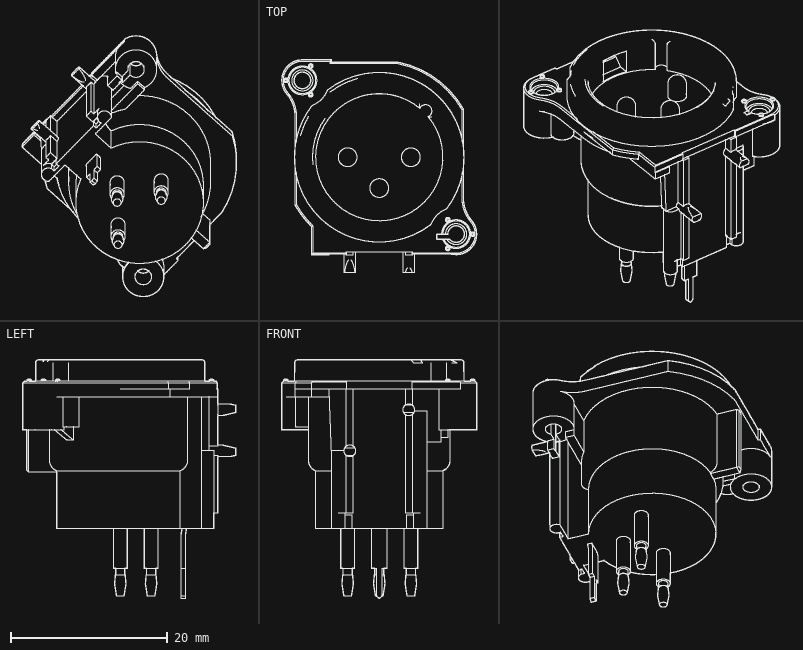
import cadquery as cq
import math


collar_radius = 10.87
collar_height = 2.75
collar_rounding = 0.4
ear_clearance_radius = 3.45
bore_radius = 8.15
cavity_floor_z = -1.75
key_radius = 0.8
key_offset = 8.4
key_angle = 45
latch_window_width = 3.7
latch_window_top_z = 1.65
latch_window_depth_y = 10.5
latch_window_floor_z = -1.6
latch_ramp_start_y = 9.2
latch_ramp_end_y = 10.2
latch_ramp_top_z = -0.57

flange_upper_thickness = 1.0
flange_thickness = 2.0
flange_chamfer = 0.2
flange_half_width = 10.8
flange_back_y = 12.2
flange_corner_radius = 12.43
back_corner_mid_angle = 55
left_corner_mid_angle = 215
flange_left_corner_x = -8.7
flange_front_y = -12.5
flange_upper_front_y = -12.38
flange_upper_front_end_x = 10.43
flange_relief_y = -12.17
flange_relief_half_width = 4.2
back_step_x = -6.12

ear_offset = 9.85
left_ear_angle = 135
ear_radius = 2.65
ear_depth = 6.25
ear_blend_start = 5.23
ear_hole_diameter = 2.1
ear_counterbore_diameter = 3.4
ear_counterbore_depth = 0.9
ear_counterbore_chamfer = 0.15
ear_countersink = 0.3
bump_circle_radius = 2.12
bump_angles = (0, 120, 240)
bump_radius = 0.3
bump_height = 0.3
slot_inner_x = 7.4
slot_front_y = -10.5
slot_width = 0.6
lug_diameter = 3.0
lug_x = -9.25
lug_y = 6.8
lug_depth = 5.85
gusset_width = 1.2
gusset_root_z = -7.55
right_gusset_x = 8.83
right_gusset_front_y = -8.6
right_gusset_bottom_z = -7.2

barrel_radius = 9.1
barrel_fillet = 1.5
barrel_bottom_z = -11.6
base_radius = 8.175
base_z = -18.9

housing_back_y = 12.0
housing_width = 1.2
housing_bottom_z = -11.65
housing_chamfer = 0.25

carrier_back_y = -10.44
carrier_front_y = -11.37
carrier_left_top_x = -6.45
carrier_left_x = -6.15
carrier_right_x = 7.92
carrier_right_bottom_z = -7.8
neck_half_width = 2.85
rib_front_y = -12.5
rib_inner_x = 3.36
rib_width = 0.88
rib_bottom_z = -16.9
column_front_y = -12.0
column_radius = 0.9
column_x = 5.25
column_y = column_front_y + column_radius
left_column_top_z = -8.9
right_column_top_z = -3.8
groove_inner_x = 3.5
groove_width = 0.88
groove_back_y = -10.9
groove_top_z = -17.15

contact_spacing_x = 4.05
contact_back_y = -3.95
contact_diameter = 2.4
contact_dome_z = 0.15
contact_embed_depth = 1.0
tail_diameter = 1.8
tail_end_z = -24.0
neck_diameter = 1.2
neck_end_z = -24.83
barb_top_diameter = 1.3
barb_diameter = 1.5
barb_z = -25.97
tip_diameter = 1.0
tip_z = -27.53

ground_y = -8.08
ground_thickness = 0.6
ground_half_width = 1.0
ground_jog = 0.12
ground_bend_z = -19.6
ground_tip_half_width = 0.38
ground_tip_z = -27.87
ground_point_height = 0.35

side_pin_diameter = 1.5
side_pin_x = 3.78
side_pin_end_y = -14.8
side_pin_bevel_length = 1.7
side_pin_bevel_depth = 0.4
side_pin_nose_length = 0.7
side_pin_nose_depth = 0.15
left_side_pin_z = -8.92
right_side_pin_z = -3.67


def box(x0, x1, y0, y1, z0, z1):
    """Axis-aligned block between opposite corners."""
    return cq.Workplane("XY").box(x1 - x0, y1 - y0, z1 - z0, centered=False).translate((x0, y0, z0))


def disc(radius, x, y, z0, z1):
    """Vertical cylinder between two heights."""
    return cq.Workplane("XY", origin=(x, y, z0)).circle(radius).extrude(z1 - z0)


def polar(radius, angle):
    """Point at a radius and an angle in degrees."""
    a = math.radians(angle)
    return (radius * math.cos(a), radius * math.sin(a))


def turned(points):
    """Point-symmetric copy of plan points, for the opposite ear."""
    return [(-x, -y) for x, y in points]


def left_ear_points():
    """Tangent point, blend middle and blend end of the left ear outline."""
    overlap = flange_half_width - ear_offset
    rise = ear_offset - ear_blend_start
    blend = (rise ** 2 + overlap ** 2 - ear_radius ** 2) / (2 * (ear_radius - overlap))
    centre = (-flange_half_width - blend, ear_blend_start)
    angle = math.degrees(math.atan2(rise, overlap + blend))
    dx, dy = polar(ear_radius, 180 + angle)
    tangent = (-ear_offset + dx, ear_offset + dy)
    mx, my = polar(blend, angle / 2)
    return [tangent, (centre[0] + mx, centre[1] + my), (-flange_half_width, ear_blend_start)]


def on_circle_y(radius, x):
    """Height of a circle about the origin at a given x."""
    return math.sqrt(radius ** 2 - x ** 2)


def flange_outline(corner_radius):
    """Plan outline shared by both flange layers; the front-left corner radius differs."""
    tangent, blend_mid, blend_end = left_ear_points()
    r_tangent, r_blend_mid, r_blend_end = turned([tangent, blend_mid, blend_end])
    corner_y = on_circle_y(flange_corner_radius, flange_half_width)
    back_x = on_circle_y(flange_corner_radius, flange_back_y)
    left_y = -on_circle_y(corner_radius, flange_half_width)
    return (
        cq.Workplane("XY")
        .moveTo(flange_left_corner_x, flange_front_y)
        .lineTo(ear_offset, flange_front_y)
        .threePointArc((ear_offset + ear_radius, -ear_offset), r_tangent)
        .threePointArc(r_blend_mid, r_blend_end)
        .lineTo(flange_half_width, corner_y)
        .threePointArc(polar(flange_corner_radius, back_corner_mid_angle), (back_x, flange_back_y))
        .lineTo(back_step_x, flange_back_y)
        .lineTo(back_step_x, ear_offset + ear_radius)
        .lineTo(-ear_offset, ear_offset + ear_radius)
        .threePointArc((-ear_offset - ear_radius, ear_offset), tangent)
        .threePointArc(blend_mid, blend_end)
        .lineTo(-flange_half_width, left_y)
        .threePointArc(
            polar(corner_radius, left_corner_mid_angle),
            (flange_left_corner_x, -on_circle_y(corner_radius, flange_left_corner_x)),
        )
        .close()
    )


def make_flange():
    upper = flange_outline(flange_corner_radius)
    upper = upper.extrude(-flange_upper_thickness).faces(">Z").edges().chamfer(flange_chamfer)
    front_trim = box(
        flange_left_corner_x, flange_upper_front_end_x, flange_front_y, flange_upper_front_y,
        -flange_upper_thickness, 0,
    )
    relief = box(
        -flange_relief_half_width, flange_relief_half_width, flange_front_y, flange_relief_y,
        -flange_upper_thickness, 0,
    )
    lower = flange_outline(flange_half_width)
    lower = lower.extrude(flange_upper_thickness - flange_thickness)
    lower = lower.translate((0, 0, -flange_upper_thickness))
    front_recess = box(
        carrier_left_top_x, ear_offset + ear_radius, flange_front_y, carrier_front_y,
        -flange_thickness, -flange_upper_thickness,
    )
    return upper.cut(front_trim).cut(relief).union(lower.cut(front_recess))


def make_collar():
    collar = cq.Workplane("XY").circle(collar_radius).extrude(collar_height)
    for side in (-1, 1):
        clearance = disc(ear_clearance_radius, side * ear_offset, -side * ear_offset, 0, collar_height)
        collar = collar.cut(clearance)
    collar = collar.cut(make_cavity(0, collar_height))
    return collar.faces(">Z").edges().fillet(collar_rounding)


def make_barrel():
    barrel = disc(barrel_radius, 0, 0, barrel_bottom_z, 0).faces("<Z").edges().fillet(barrel_fillet)
    return barrel.union(disc(base_radius, 0, 0, base_z, 0))


def make_latch_housing():
    half = housing_width / 2
    housing = box(-half, half, 0, housing_back_y, housing_bottom_z, -flange_upper_thickness)
    return housing.faces(">Y").edges("<Z or |Z").chamfer(housing_chamfer)


def make_ear(side):
    """Mounting column; side is -1 for the left ear, 1 for the right ear."""
    return disc(ear_radius, side * ear_offset, -side * ear_offset, -ear_depth, -flange_upper_thickness)


def make_left_gusset():
    """Diagonal rib from the barrel to the left ear, with a sloping lower edge."""
    ear_distance = math.hypot(ear_offset, ear_offset)
    return (
        cq.Workplane("XZ")
        .moveTo(0, -flange_upper_thickness)
        .lineTo(0, gusset_root_z)
        .lineTo(barrel_radius, gusset_root_z)
        .lineTo(ear_distance - ear_radius, -ear_depth)
        .lineTo(ear_distance - ear_radius / 2, -ear_depth)
        .lineTo(ear_distance - ear_radius / 2, -flange_upper_thickness)
        .close()
        .extrude(gusset_width / 2, both=True)
        .rotate((0, 0, 0), (0, 0, 1), left_ear_angle)
    )


def make_right_gusset():
    """Square-ended block between the barrel and the right ear."""
    return box(
        0, right_gusset_x, right_gusset_front_y, right_gusset_front_y + gusset_width,
        right_gusset_bottom_z, -flange_upper_thickness,
    )


def make_ear_bumps(side):
    x, y = side * ear_offset, -side * ear_offset
    bumps = cq.Workplane("XY")
    for angle in bump_angles:
        dx, dy = polar(side * bump_circle_radius, angle)
        bump = disc(bump_radius, x + dx, y + dy, -bump_height, bump_height)
        bumps = bumps.union(bump.faces(">Z").edges().chamfer(bump_radius / 2))
    return bumps


def make_carrier():
    """Front slab that guides the side contacts, tied to the barrel by a neck."""
    slab = (
        cq.Workplane("XZ", origin=(0, carrier_back_y, 0))
        .moveTo(carrier_left_top_x, -flange_upper_thickness)
        .lineTo(carrier_right_x, -flange_upper_thickness)
        .lineTo(carrier_right_x, carrier_right_bottom_z)
        .lineTo(-carrier_left_x, carrier_right_bottom_z)
        .lineTo(-carrier_left_x, right_column_top_z)
        .lineTo(column_x, right_column_top_z)
        .lineTo(column_x, base_z)
        .lineTo(-column_x, base_z)
        .lineTo(-column_x, left_column_top_z)
        .lineTo(carrier_left_x, left_column_top_z)
        .close()
        .extrude(carrier_back_y - carrier_front_y)
    )
    neck = box(-neck_half_width, neck_half_width, carrier_back_y, 0, base_z, -flange_upper_thickness)
    return slab.union(neck)


def make_guide(side, top_z):
    """Rounded column, its flat and the raised rib beside one side contact."""
    column = disc(column_radius, side * column_x, column_y, base_z, top_z)
    front_half = box(
        -flange_half_width, flange_half_width, rib_front_y, carrier_back_y, base_z, top_z
    )
    column = column.intersect(front_half)
    x0, x1 = sorted((side * rib_inner_x, side * column_x))
    flat = box(x0, x1, column_front_y, carrier_back_y, rib_bottom_z, top_z)
    x0, x1 = sorted((side * rib_inner_x, side * (rib_inner_x + rib_width)))
    rib = box(x0, x1, rib_front_y, carrier_back_y, rib_bottom_z, -flange_upper_thickness)
    x0, x1 = sorted((side * groove_inner_x, side * (groove_inner_x + groove_width)))
    groove = box(x0, x1, rib_front_y, groove_back_y, base_z, groove_top_z)
    return column.union(flat).union(rib), groove


def make_contact(x, y):
    """Contact turned about its own axis, from the dome to the barbed tail."""
    profile = (
        cq.Workplane("XZ")
        .moveTo(0, tip_z)
        .lineTo(tip_diameter / 2, tip_z)
        .lineTo(barb_diameter / 2, barb_z)
        .lineTo(barb_top_diameter / 2, neck_end_z)
        .lineTo(neck_diameter / 2, neck_end_z)
        .lineTo(neck_diameter / 2, tail_end_z)
        .lineTo(tail_diameter / 2, tail_end_z)
        .lineTo(tail_diameter / 2, cavity_floor_z - contact_embed_depth)
        .lineTo(contact_diameter / 2, cavity_floor_z - contact_embed_depth)
        .lineTo(contact_diameter / 2, contact_dome_z)
        .radiusArc((0, contact_dome_z + contact_diameter / 2), -contact_diameter / 2)
        .close()
    )
    return profile.revolve(360, (0, 0, 0), (0, 1, 0)).translate((x, y, 0))


def make_ground_tail():
    """Flat blade with a small jog at the root and a pointed solder tip."""
    blade = box(
        -ground_half_width, ground_half_width, ground_y - ground_thickness / 2,
        ground_y + ground_thickness / 2, tail_end_z, ground_bend_z,
    )
    root = (
        cq.Workplane("XY", origin=(0, ground_y, ground_bend_z))
        .rect(2 * ground_half_width, ground_thickness)
        .workplane(offset=base_z - ground_bend_z)
        .center(0, -ground_jog)
        .rect(2 * ground_half_width, ground_thickness)
        .loft(ruled=True)
    )
    tip = (
        cq.Workplane("XZ", origin=(0, ground_y, 0))
        .moveTo(-ground_tip_half_width, tail_end_z)
        .lineTo(ground_tip_half_width, tail_end_z)
        .lineTo(ground_tip_half_width, ground_tip_z + ground_point_height)
        .lineTo(0, ground_tip_z)
        .lineTo(-ground_tip_half_width, ground_tip_z + ground_point_height)
        .close()
        .extrude(ground_thickness / 2, both=True)
    )
    return blade.union(root).union(tip)


def make_side_pin(side, z, bevel_side):
    """Forward contact with a long bevel at its end and a short one opposite.

    bevel_side is 1 for a long bevel on top, -1 for one underneath.
    """
    radius = side_pin_diameter / 2
    x = side * side_pin_x
    pin = cq.Workplane("XZ", origin=(x, carrier_back_y, z)).circle(radius)
    pin = pin.extrude(carrier_back_y - side_pin_end_y)
    bevels = (
        (bevel_side, side_pin_bevel_length, side_pin_bevel_depth),
        (-bevel_side, side_pin_nose_length, side_pin_nose_depth),
    )
    for direction, length, depth in bevels:
        bevel = (
            cq.Workplane("YZ", origin=(x, 0, z))
            .moveTo(side_pin_end_y + length, direction * radius)
            .lineTo(side_pin_end_y, direction * (radius - depth))
            .lineTo(side_pin_end_y, direction * radius)
            .close()
            .extrude(radius, both=True)
        )
        pin = pin.cut(bevel)
    return pin


def make_cavity(bottom_z, top_z):
    """Bore with its keyway, between two heights."""
    shaft = disc(bore_radius, 0, 0, bottom_z, top_z)
    keyway = disc(key_radius, *polar(key_offset, key_angle), bottom_z, top_z)
    return shaft.union(keyway)


def make_latch_window():
    """Opening in the bore wall whose floor ramps up towards the back."""
    return (
        cq.Workplane("YZ")
        .moveTo(0, latch_window_floor_z)
        .lineTo(latch_ramp_start_y, latch_window_floor_z)
        .lineTo(latch_ramp_end_y, latch_ramp_top_z)
        .lineTo(latch_window_depth_y, latch_ramp_top_z)
        .lineTo(latch_window_depth_y, latch_window_top_z)
        .lineTo(0, latch_window_top_z)
        .close()
        .extrude(latch_window_width / 2, both=True)
    )


def make_ear_hole(side):
    """Through hole with a countersunk edge at the bottom of a chamfered counterbore."""
    hole_radius = ear_hole_diameter / 2
    bore_edge = ear_counterbore_diameter / 2
    profile = (
        cq.Workplane("XZ")
        .moveTo(0, -ear_depth)
        .lineTo(hole_radius, -ear_depth)
        .lineTo(hole_radius, -ear_counterbore_depth - ear_countersink)
        .lineTo(hole_radius + ear_countersink, -ear_counterbore_depth)
        .lineTo(bore_edge, -ear_counterbore_depth)
        .lineTo(bore_edge, -ear_counterbore_chamfer)
        .lineTo(bore_edge + ear_counterbore_chamfer, 0)
        .lineTo(0, 0)
        .close()
    )
    hole = profile.revolve(360, (0, 0, 0), (0, 1, 0))
    return hole.translate((side * ear_offset, -side * ear_offset, 0))


body = make_flange().union(make_barrel()).union(make_latch_housing())
body = body.union(disc(lug_diameter / 2, lug_x, lug_y, -lug_depth, -flange_upper_thickness))
body = body.union(make_left_gusset()).union(make_right_gusset()).union(make_carrier())
for side, column_top_z in ((-1, left_column_top_z), (1, right_column_top_z)):
    guide, groove = make_guide(side, column_top_z)
    body = body.union(guide).cut(groove)
    body = body.union(make_ear(side)).cut(make_ear_hole(side)).union(make_ear_bumps(side))
body = body.cut(make_cavity(cavity_floor_z, 0)).union(make_collar()).cut(make_latch_window())
body = body.cut(
    box(slot_inner_x, ear_offset, slot_front_y, slot_front_y + slot_width, carrier_right_bottom_z, 0)
)
for x, y in ((-contact_spacing_x, 0), (contact_spacing_x, 0), (0, contact_back_y)):
    body = body.union(make_contact(x, y))
body = body.union(make_ground_tail())
body = body.union(make_side_pin(-1, left_side_pin_z, 1))
body = body.union(make_side_pin(1, right_side_pin_z, -1))

result = body